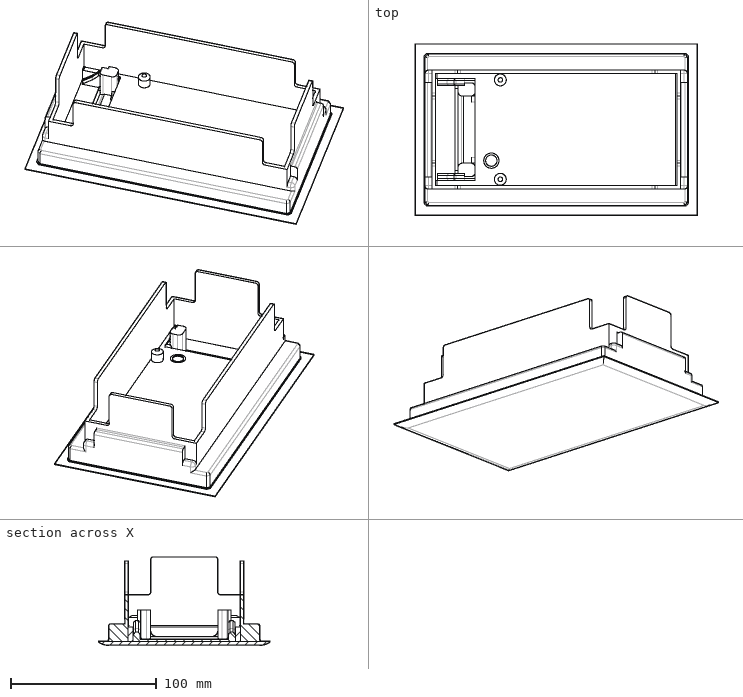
import cadquery as cq
import math

BEZEL_LENGTH = 194.0
BEZEL_WIDTH = 118.0
BEZEL_TOP = 3.0
RIM_BOTTOM = 2.3
RIM_CURVE_RUN = 7.0

TOTAL_HEIGHT = 61.0
LIP_LENGTH = 182.0
LIP_WIDTH = 105.0
LIP_TOP = 3.7
FOOT_LENGTH = 180.5
FOOT_WIDTH = 104.0
FOOT_TOP = 15.0
FOOT_CORNER_CUT = 2.0
FOOT_EDGE_RADIUS = 1.7

BOX_LENGTH = 170.7
BOX_WIDTH = 81.9
BOX_WALL = 2.5
BOX_SHOULDER = 35.0
LONG_WALL_TOP = 58.2
LONG_TAB_LENGTH = 135.5
END_TAB_WIDTH = 46.2
TAB_RADIUS = 2.0
CAVITY_LENGTH = BOX_LENGTH - 2 * BOX_WALL
CAVITY_WIDTH = BOX_WIDTH - 2 * BOX_WALL

CHEEK_SHOULDER = 20.5
CHEEK_RADIUS = 2.5
CHEEK_TAB_WIDTH = 64.8
CHEEK_TAB_TOP = 30.3
CHEEK_TAB_RADIUS = 1.7
CHEEK_ROOT_RADIUS = 0.8

FLOOR_TOP = 12.8
LEDGE_WIDTH = 0.8
LEDGE_HEIGHT = 0.8
HOLDER_RIGHT = -55.7
HOLDER_LEFT = -CAVITY_LENGTH / 2
HOLDER_WIDTH = 70.0

BAY_TOP = 4.3
GROOVE_TOP = 3.5
GROOVE_LEFT = -69.6
GROOVE_RIGHT = -67.5
GROOVE_END_SIZE = 2.0
DECK_BEND = -65.0
DECK_BEND_HEIGHT = 5.6
DECK_TOP = 6.2
DECK_LEFT = -63.6
ARM_WIDTH = 4.8
ARM_EDGE_CUT = 1.4
ARM_START = -81.7
ARM_START_HEIGHT = 6.2
ARM_BEND = -75.0
ARM_BEND_HEIGHT = 11.6
ARM_PEAK_LEFT = -70.5
ARM_PEAK_RIGHT = -69.0
ARM_PEAK_HEIGHT = 17.0
ARM_REST = -63.0
ARM_REST_HEIGHT = 15.1
PAD_LEFT = -67.5
PAD_INNER_Y = 23.0
PAD_OUTER_Y = 32.2
PAD_TOP = 24.5
PAD_RADIUS = 3.0
GUSSET_THICKNESS = 2.7
GUSSET_RADIUS = 4.0

SCREW_X = -38.5
SCREW_Y = 34.1
SCREW_RADIUS = 4.0
SCREW_FLAT_RADIUS = 1.5
SCREW_TOP = 20.5
SCREW_CONE_HEIGHT = 1.4

PLUG_X = -44.6
PLUG_Y = -21.3
PLUG_RADIUS = 5.2
PLUG_DISH_RADIUS = 3.9
PLUG_DEPTH = 2.0
PLUG_DISH_DEPTH = 0.5

SIDES = (-1, 1)


def block(x_min, x_max, y_min, y_max, z_min, z_max):
    """Rectangular block between the given limits."""
    return (
        cq.Workplane("XY")
        .box(x_max - x_min, y_max - y_min, z_max - z_min, centered=False)
        .translate((x_min, y_min, z_min))
    )


def centred_block(length, width, z_min, z_max):
    """Rectangular block centred on the Z axis."""
    return block(-length / 2, length / 2, -width / 2, width / 2, z_min, z_max)


def bezel_band(plane, span, depth):
    """Bezel cross-section of the given span, extruded to the given depth."""
    half = span / 2
    flat = half - RIM_CURVE_RUN
    radius = (RIM_CURVE_RUN**2 + RIM_BOTTOM**2) / (2 * RIM_BOTTOM)
    half_angle = math.asin(RIM_CURVE_RUN / radius) / 2
    mid_run = flat + radius * math.sin(half_angle)
    mid_rise = radius * (1 - math.cos(half_angle))
    return (
        cq.Workplane(plane)
        .moveTo(-flat, 0)
        .lineTo(flat, 0)
        .threePointArc((mid_run, mid_rise), (half, RIM_BOTTOM))
        .lineTo(half, BEZEL_TOP)
        .lineTo(-half, BEZEL_TOP)
        .lineTo(-half, RIM_BOTTOM)
        .threePointArc((-mid_run, mid_rise), (-flat, 0))
        .close()
        .extrude(depth / 2, both=True)
    )


def make_bezel():
    """Plate with the same curved band on all four sides, mitred at the corners."""
    along_x = bezel_band("XZ", BEZEL_LENGTH, BEZEL_WIDTH)
    along_y = bezel_band("YZ", BEZEL_WIDTH, BEZEL_LENGTH)
    return along_x.intersect(along_y)


def make_foot():
    """Wide base of the housing with a small lip where it meets the bezel."""
    lip = (
        centred_block(LIP_LENGTH, LIP_WIDTH, BEZEL_TOP, LIP_TOP)
        .edges("|Z")
        .chamfer(FOOT_CORNER_CUT)
    )
    foot = (
        centred_block(FOOT_LENGTH, FOOT_WIDTH, BEZEL_TOP, FOOT_TOP)
        .edges("|Z")
        .chamfer(FOOT_CORNER_CUT)
        .faces(">Z")
        .edges()
        .fillet(FOOT_EDGE_RADIUS)
    )
    return lip.union(foot)


def make_cheeks():
    """Rounded shoulders at both ends of the foot, each with a taller tab."""
    shoulders = (
        centred_block(FOOT_LENGTH, BOX_WIDTH, LIP_TOP, CHEEK_SHOULDER)
        .edges("|Z or >Z")
        .fillet(CHEEK_RADIUS)
    )
    tabs = (
        centred_block(FOOT_LENGTH, CHEEK_TAB_WIDTH, LIP_TOP, CHEEK_TAB_TOP)
        .edges("|Y and >Z")
        .fillet(CHEEK_TAB_RADIUS)
    )
    cheeks = shoulders.union(tabs)
    for side in SIDES:
        wall_x = side * BOX_LENGTH / 2
        blend_x = wall_x + side * CHEEK_ROOT_RADIUS
        blend_top = CHEEK_TAB_TOP + CHEEK_ROOT_RADIUS
        corner_offset = CHEEK_ROOT_RADIUS * (1 - math.sqrt(0.5))
        blend = (
            cq.Workplane("XZ")
            .moveTo(wall_x, CHEEK_TAB_TOP)
            .lineTo(blend_x, CHEEK_TAB_TOP)
            .threePointArc(
                (wall_x + side * corner_offset, CHEEK_TAB_TOP + corner_offset),
                (wall_x, blend_top),
            )
            .close()
            .extrude(CHEEK_TAB_WIDTH / 2, both=True)
        )
        cheeks = cheeks.union(blend)
    return cheeks


def wall_outline(plane, wall_length, tab_length, tab_top, depth):
    """T-shaped wall panel: low shoulders and a taller tab with rounded corners."""
    shoulder = wall_length / 2
    tab = tab_length / 2
    bend = TAB_RADIUS * math.sqrt(0.5)
    root = tab + TAB_RADIUS
    head = tab - TAB_RADIUS
    root_z = BOX_SHOULDER + TAB_RADIUS
    head_z = tab_top - TAB_RADIUS
    return (
        cq.Workplane(plane)
        .moveTo(-shoulder, BEZEL_TOP)
        .lineTo(shoulder, BEZEL_TOP)
        .lineTo(shoulder, BOX_SHOULDER)
        .lineTo(root, BOX_SHOULDER)
        .threePointArc((root - bend, root_z - bend), (tab, root_z))
        .lineTo(tab, head_z)
        .threePointArc((head + bend, head_z + bend), (head, tab_top))
        .lineTo(-head, tab_top)
        .threePointArc((-head - bend, head_z + bend), (-tab, head_z))
        .lineTo(-tab, root_z)
        .threePointArc((-root + bend, root_z - bend), (-root, BOX_SHOULDER))
        .lineTo(-shoulder, BOX_SHOULDER)
        .close()
        .extrude(depth / 2, both=True)
    )


def make_housing():
    """Foot, cheeks and notched box wall around one open cavity."""
    long_walls = wall_outline("XZ", BOX_LENGTH, LONG_TAB_LENGTH, LONG_WALL_TOP, BOX_WIDTH)
    end_walls = wall_outline("YZ", BOX_WIDTH, END_TAB_WIDTH, TOTAL_HEIGHT, BOX_LENGTH)
    cavity = centred_block(CAVITY_LENGTH, CAVITY_WIDTH, BEZEL_TOP, TOTAL_HEIGHT)
    return make_foot().union(make_cheeks()).union(long_walls).union(end_walls).cut(cavity)


def make_floor():
    """Floor block with a ledge at each end, open at the holder and recessed for the plug."""
    ledge_top = FLOOR_TOP + LEDGE_HEIGHT
    sunk_length = CAVITY_LENGTH - 2 * LEDGE_WIDTH
    floor = centred_block(CAVITY_LENGTH, CAVITY_WIDTH, BEZEL_TOP, ledge_top)
    sunk_face = centred_block(sunk_length, CAVITY_WIDTH, FLOOR_TOP, ledge_top)
    opening = block(
        HOLDER_LEFT, HOLDER_RIGHT, -HOLDER_WIDTH / 2, HOLDER_WIDTH / 2, BEZEL_TOP, ledge_top
    )
    plug_recess = (
        cq.Workplane("XY", origin=(PLUG_X, PLUG_Y, FLOOR_TOP))
        .circle(PLUG_RADIUS)
        .extrude(-PLUG_DEPTH)
    )
    return floor.cut(sunk_face).cut(opening).cut(plug_recess)


def make_holder_base():
    """Stepped holder tray: battery bay, groove, and a raised deck with a sloped edge."""
    return (
        cq.Workplane("XZ")
        .moveTo(HOLDER_LEFT, BEZEL_TOP)
        .lineTo(HOLDER_LEFT, BAY_TOP)
        .lineTo(GROOVE_LEFT, BAY_TOP)
        .lineTo(GROOVE_LEFT, GROOVE_TOP)
        .lineTo(GROOVE_RIGHT, GROOVE_TOP)
        .lineTo(DECK_BEND, DECK_BEND_HEIGHT)
        .lineTo(DECK_LEFT, DECK_TOP)
        .lineTo(HOLDER_RIGHT, DECK_TOP)
        .lineTo(HOLDER_RIGHT, BEZEL_TOP)
        .close()
        .extrude(HOLDER_WIDTH / 2, both=True)
    )


def make_holder_arm():
    """Humped arm along the +Y side of the holder, with bevelled upper edges."""
    outer_y = HOLDER_WIDTH / 2
    return (
        cq.Workplane("XZ", origin=(0, outer_y, 0))
        .moveTo(ARM_START, BEZEL_TOP)
        .lineTo(ARM_START, ARM_START_HEIGHT)
        .lineTo(ARM_BEND, ARM_BEND_HEIGHT)
        .lineTo(ARM_PEAK_LEFT, ARM_PEAK_HEIGHT)
        .lineTo(ARM_PEAK_RIGHT, ARM_PEAK_HEIGHT)
        .lineTo(ARM_REST, ARM_REST_HEIGHT)
        .lineTo(HOLDER_RIGHT, ARM_REST_HEIGHT)
        .lineTo(HOLDER_RIGHT, BEZEL_TOP)
        .close()
        .extrude(ARM_WIDTH)
        .faces("<Y or >Y")
        .edges("not(|Z or <Z)")
        .chamfer(ARM_EDGE_CUT)
    )


def make_holder_pad():
    """Rounded post beside the +Y arm, with a small curved gusset towards the middle."""
    post = (
        block(PAD_LEFT, HOLDER_RIGHT, PAD_INNER_Y, PAD_OUTER_Y, BEZEL_TOP, PAD_TOP)
        .edges("|Z")
        .fillet(PAD_RADIUS)
    )
    arm_inner_y = HOLDER_WIDTH / 2 - ARM_WIDTH
    arm_relief = block(PAD_LEFT, ARM_REST, arm_inner_y, PAD_OUTER_Y, BEZEL_TOP, PAD_TOP)
    gusset_root = PAD_INNER_Y + PAD_RADIUS
    gusset_toe = PAD_INNER_Y - GUSSET_RADIUS
    gusset_top = DECK_TOP + GUSSET_RADIUS
    gusset_bend = GUSSET_RADIUS * math.sqrt(0.5)
    gusset = (
        cq.Workplane("YZ", origin=(HOLDER_RIGHT - GUSSET_THICKNESS, 0, 0))
        .moveTo(gusset_toe, DECK_TOP)
        .threePointArc(
            (gusset_toe + gusset_bend, gusset_top - gusset_bend), (PAD_INNER_Y, gusset_top)
        )
        .lineTo(gusset_root, gusset_top)
        .lineTo(gusset_root, DECK_TOP)
        .close()
        .extrude(GUSSET_THICKNESS)
    )
    return post.cut(arm_relief).union(gusset)


def make_groove_end():
    """Ramp that closes the +Y end of the groove against the arm."""
    ramp_top_y = HOLDER_WIDTH / 2 - ARM_WIDTH
    return (
        cq.Workplane("YZ", origin=(GROOVE_LEFT, 0, 0))
        .moveTo(ramp_top_y - GROOVE_END_SIZE, GROOVE_TOP)
        .lineTo(ramp_top_y, GROOVE_TOP + GROOVE_END_SIZE)
        .lineTo(ramp_top_y, GROOVE_TOP)
        .close()
        .extrude(GROOVE_RIGHT - GROOVE_LEFT)
    )


def make_holder():
    """Battery holder: tray with an arm, a pad and a groove end mirrored on both sides."""
    side_parts = make_holder_arm().union(make_holder_pad()).union(make_groove_end())
    return make_holder_base().union(side_parts).union(side_parts.mirror("XZ"))


def make_screw(y):
    """Screw head standing on the floor, with a shallow cone and a flat top."""
    cone_base = SCREW_TOP - SCREW_CONE_HEIGHT
    profile = (
        cq.Workplane("XZ")
        .moveTo(0, FLOOR_TOP)
        .lineTo(SCREW_RADIUS, FLOOR_TOP)
        .lineTo(SCREW_RADIUS, cone_base)
        .lineTo(SCREW_FLAT_RADIUS, SCREW_TOP)
        .lineTo(0, SCREW_TOP)
        .close()
    )
    return profile.revolve(360, (0, 0, 0), (0, 1, 0)).translate((SCREW_X, y, 0))


def make_plug():
    """Round plug set flush into the floor, with a shallow dished face."""
    return (
        cq.Workplane("XY", origin=(PLUG_X, PLUG_Y, FLOOR_TOP - PLUG_DEPTH))
        .circle(PLUG_RADIUS)
        .extrude(PLUG_DEPTH)
        .faces(">Z")
        .workplane()
        .circle(PLUG_DISH_RADIUS)
        .cutBlind(-PLUG_DISH_DEPTH)
    )


bezel = make_bezel()
housing = make_housing()
floor_block = make_floor()
holder = make_holder()
screws = [make_screw(side * SCREW_Y) for side in SIDES]
plug = make_plug()

result = cq.Compound.makeCompound(
    [
        bezel.val(),
        housing.val(),
        floor_block.val(),
        holder.val(),
        *[screw.val() for screw in screws],
        plug.val(),
    ]
)